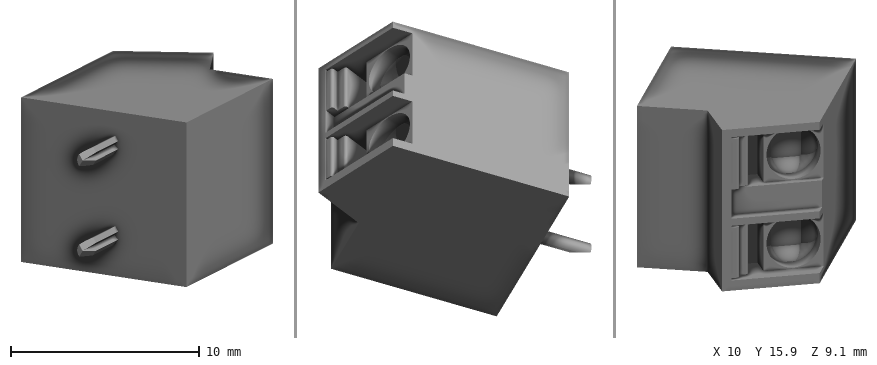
import cadquery as cq
import math

width = 10.0
length = 15.9
height = 9.1
front_y = 3.5
left_corner_y = 13.65
shoulder_y = 13.02
slope_angle = 25.0
slope_tan = math.tan(math.radians(slope_angle))

pitch = 5.0
pocket_centers = [2.11, 2.11 + pitch]
pin_centers = [2.27, 2.27 + pitch]

pocket_width = 3.08
pocket_depth = 1.02
pocket_end = 4.82
overrun = 1.59
slot_start = 2.81
slot_depth = 2.38
recess_depth = 0.6
recess_bottom = 4.05

button_width = 2.85
button_top = 0.03
button_step_depth = 0.45
button_upper_start = 4.37
button_lower_start = 3.78
button_round = 0.16

bore_diameter = 2.95
bore_position = 1.18
bore_depth = 0.87
funnel_depth = 0.8
funnel_end_diameter = 2.23
funnel_mouth_square = 2.9
funnel_end_square = 1.65

pin_radius = 0.501
pin_axis_x = 5.8
arm_corner = (0.06, 0.22)
groove_root = (-0.167, 0.0)
arm_shoulder_x = -0.24
arm_outer = (-0.11, 0.5)
tip_taper_length = 1.05
taper_clearance = 0.16


def slope_plane(z):
    """XY plane whose local x runs up the slope and local y points out of it."""
    along = (1, slope_tan, 0)
    return cq.Workplane(cq.Plane(origin=(0, left_corner_y, z), xDir=along, normal=(0, 0, 1)))


def slope_box(start, end, depth, z_bottom, z_size):
    """Box sunk into the slope, running out above it."""
    outline = slope_plane(z_bottom).moveTo(start, -depth).lineTo(end, -depth)
    return outline.lineTo(end, overrun).lineTo(start, overrun).close().extrude(z_size)


def housing():
    peak_x = (length - left_corner_y) / slope_tan
    shoulder_x = peak_x + (length - shoulder_y) * slope_tan
    outline = [
        (0, front_y),
        (width, front_y),
        (width, shoulder_y),
        (shoulder_x, shoulder_y),
        (peak_x, length),
        (0, left_corner_y),
    ]
    return cq.Workplane("XY").polyline(outline).close().extrude(height)


def wire_entry(z):
    along = (1, slope_tan, 0)
    inward = (slope_tan, -1, 0)
    floor_center = slope_plane(z).plane.toWorldCoords((bore_position, -pocket_depth, 0))
    floor = cq.Workplane(cq.Plane(origin=floor_center, xDir=along, normal=inward))
    bore = floor.circle(bore_diameter / 2).extrude(bore_depth)
    mouth = floor.workplane(offset=bore_depth)
    cone = (
        mouth.circle(bore_diameter / 2)
        .workplane(offset=funnel_depth)
        .circle(funnel_end_diameter / 2)
        .loft(ruled=True)
    )
    flats = (
        mouth.rect(funnel_mouth_square, funnel_mouth_square)
        .workplane(offset=funnel_depth)
        .rect(funnel_end_square, funnel_end_square)
        .loft(ruled=True)
    )
    funnel = cone.intersect(flats)
    return bore.union(funnel)


def pole_cavity(z):
    bottom = z - pocket_width / 2
    pocket = slope_box(-overrun, pocket_end, pocket_depth, bottom, pocket_width)
    slot = slope_box(slot_start, pocket_end, slot_depth, bottom, pocket_width)
    return pocket.union(slot).union(wire_entry(z))


def button(z):
    bend = button_round * (1 - math.sqrt(0.5))
    outline = slope_plane(z - button_width / 2).moveTo(pocket_end, -slot_depth)
    outline = outline.lineTo(pocket_end, -button_top)
    steps = [
        (button_upper_start, button_top, button_step_depth),
        (button_lower_start, button_step_depth, slot_depth),
    ]
    for start, top, foot in steps:
        outline = outline.lineTo(start + button_round, -top)
        outline = outline.threePointArc((start + bend, -top - bend), (start, -top - button_round))
        outline = outline.lineTo(start, -foot)
    return outline.close().extrude(button_width)


def pin(z):
    """Round-backed pin with a V groove, its two arms tapering to the tip."""
    corner_x, corner_z = arm_corner
    outer_x, outer_z = arm_outer
    shoulder_z = math.sqrt(pin_radius**2 - arm_shoulder_x**2)
    body = (
        cq.Workplane("XZ")
        .moveTo(arm_shoulder_x, shoulder_z)
        .lineTo(outer_x, outer_z)
        .lineTo(corner_x, corner_z)
        .lineTo(*groove_root)
        .lineTo(corner_x, -corner_z)
        .lineTo(outer_x, -outer_z)
        .lineTo(arm_shoulder_x, -shoulder_z)
        .threePointArc((-pin_radius, 0), (arm_shoulder_x, shoulder_z))
        .close()
        .extrude(front_y)
        .translate((0, front_y, 0))
    )
    end_angle = math.atan2(corner_x - outer_x, outer_z - corner_z)
    end_distance = corner_x * math.cos(end_angle) + corner_z * math.sin(end_angle)
    tip_distance = groove_root[0] * math.cos(end_angle)
    wedge = (
        cq.Workplane("XY")
        .moveTo(tip_distance, 0)
        .lineTo(end_distance, tip_taper_length)
        .lineTo(end_distance + taper_clearance, 0)
        .close()
        .extrude(2 * pin_radius, both=True)
    )
    half_space = cq.Workplane("XY").box(
        4 * pin_radius, length, 4 * pin_radius, centered=(True, True, False)
    )
    upper_wedge = wedge.rotate((0, 0, 0), (0, 1, 0), -math.degrees(end_angle)).intersect(half_space)
    body = body.cut(upper_wedge).cut(upper_wedge.mirror("XY"))
    return body.translate((pin_axis_x, 0, z))


result = housing()
for pocket_z in pocket_centers:
    result = result.cut(pole_cavity(pocket_z))
    result = result.union(button(pocket_z))

recess_height = pocket_centers[1] - pocket_width / 2 - recess_bottom
result = result.cut(slope_box(-overrun, pocket_end, recess_depth, recess_bottom, recess_height))

for pin_z in pin_centers:
    result = result.union(pin(pin_z))